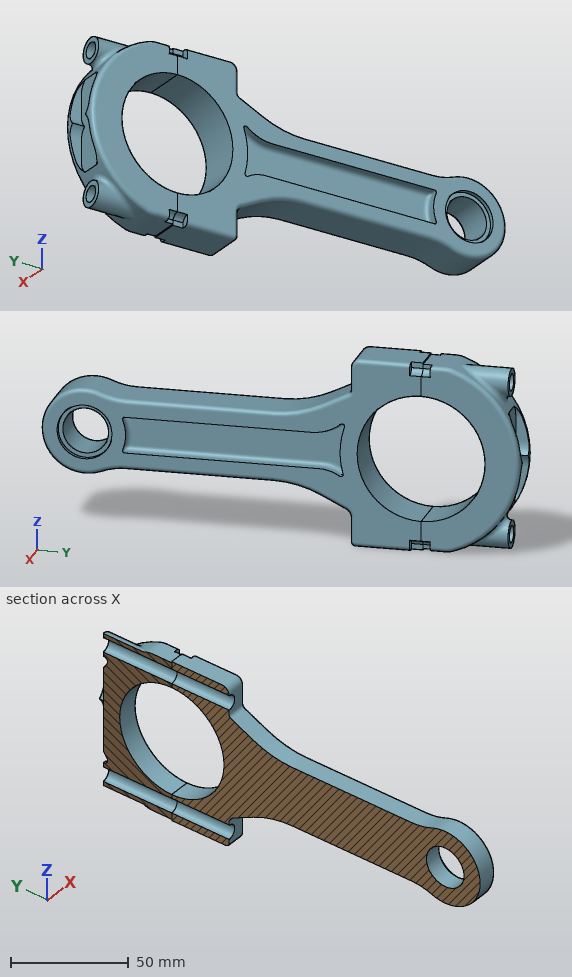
import cadquery as cq
import math


thickness = 21.0
half_thickness = thickness / 2
big_bore_radius = 28.0
edge_fillet = 2.0
bolt_hole_radius = 3.7
bolt_z = 34.0
sides = (1, -1)

rod_half_height = 41.9
shoulder_y = -31.0
shoulder_corner_fillet = 4.0
shoulder_root_z = 26.7
root_fillet_top = 2.0
root_fillet_bottom = 4.0

shank_half_height = 15.5
flare_angle = math.radians(26)
flare_end_y = -65.0

small_end_y = -147.5
small_end_radius = 19.0
small_bore_radius = 10.0
small_recess_radius = 12.0
small_recess_depth = 2.0
small_end_blend_radius = 30.0

pocket_depth = 5.0
pocket_half_height = 8.0
pocket_big_end_radius = 35.5
pocket_small_end_radius = 18.0
pocket_top_flare = {"start_y": -48.2, "radius": 20.8}
pocket_bottom_flare = {"start_y": -44.5, "radius": 16.0}
pocket_corner_fillet = 1.0
pocket_floor_fillet = 2.0

cap_radius = 43.0
cap_half_height = 41.3
cap_blend_radius = 11.0
boss_radius = 6.1
boss_end_y = 37.0
boss_root_fillet = 2.0

slot_radius = 7.4
slot_inner_z = 5.5
slot_outer_z = 16.0

notch_cap_length = 4.0
notch_rod_length = 5.0
notch_depth = 3.5
notch_floor_z = 36.9
notch_arc_rise = 2.5


def extrude_across(sketch):
    """Extrude a YZ-plane outline symmetrically over the full thickness."""
    return sketch.extrude(half_thickness, both=True)


def bolt_cylinders(radius, start_y, end_y):
    """Two cylinders along Y on the bolt axes."""
    return (
        cq.Workplane("XZ", origin=(0, start_y, 0))
        .pushPoints([(0, side * bolt_z) for side in sides])
        .circle(radius)
        .extrude(start_y - end_y)
    )


def parting_notches():
    """Four notches across the parting plane, each with a rounded inner corner."""
    notches = cq.Workplane("XY")
    for x_side in sides:
        for z_side in sides:
            face_x = x_side * half_thickness
            outside_x = x_side * (half_thickness + notch_depth)
            inner_x = x_side * (half_thickness - notch_depth)
            floor_z = z_side * notch_floor_z
            arc_end_z = z_side * (notch_floor_z + notch_arc_rise)
            open_z = z_side * rod_half_height
            notch = (
                cq.Workplane("XZ", origin=(0, notch_cap_length, 0))
                .moveTo(inner_x, open_z)
                .lineTo(outside_x, open_z)
                .lineTo(outside_x, floor_z)
                .lineTo(face_x, floor_z)
                .tangentArcPoint((inner_x, arc_end_z), relative=False)
                .close()
                .extrude(notch_cap_length + notch_rod_length)
            )
            notches = notches.add(notch)
    return notches


def cut_all(body, tools):
    """Cut every solid held by a Workplane from a body."""
    for tool in tools.vals():
        body = body.cut(cq.Workplane(tool))
    return body


def rod_outline():
    """Rod profile in the YZ plane, before its corners are rounded."""
    crossing_y = shoulder_y - (shoulder_root_z - shank_half_height) / math.tan(flare_angle)
    tangent_length = crossing_y - flare_end_y
    flare_start = (
        crossing_y + tangent_length * math.cos(flare_angle),
        shank_half_height + tangent_length * math.sin(flare_angle),
    )

    centre_distance = small_end_radius + small_end_blend_radius
    blend_centre_z = shank_half_height + small_end_blend_radius
    blend_run = math.sqrt(centre_distance**2 - blend_centre_z**2)
    share = small_end_radius / centre_distance
    blend_start_y = small_end_y + blend_run
    blend_end = (small_end_y + share * blend_run, share * blend_centre_z)
    small_end_tip = (small_end_y - small_end_radius, 0)

    return (
        cq.Workplane("YZ")
        .moveTo(0, rod_half_height)
        .lineTo(shoulder_y, rod_half_height)
        .lineTo(shoulder_y, shoulder_root_z)
        .lineTo(*flare_start)
        .tangentArcPoint((flare_end_y, shank_half_height), relative=False)
        .lineTo(blend_start_y, shank_half_height)
        .tangentArcPoint(blend_end, relative=False)
        .threePointArc(small_end_tip, (blend_end[0], -blend_end[1]))
        .tangentArcPoint((blend_start_y, -shank_half_height), relative=False)
        .lineTo(flare_end_y, -shank_half_height)
        .tangentArcPoint((flare_start[0], -flare_start[1]), relative=False)
        .lineTo(shoulder_y, -shoulder_root_z)
        .lineTo(shoulder_y, -rod_half_height)
        .lineTo(0, -rod_half_height)
        .close()
    )


def fillet_cross_edge(body, y, z, radius):
    """Round the X-direction edge that passes through (y, z)."""
    return body.edges(cq.selectors.NearestToPointSelector((0, y, z))).fillet(radius)


def fillet_rim(body, open_side):
    """Round the outline of both flat faces, except along the parting plane."""
    rim = body.faces("<X or >X").edges().edges(f"not({open_side}Y)")
    return rim.fillet(edge_fillet)


def flare_points(start_y, radius):
    """Middle and end of a pocket flare curving up from the straight wall to the big-end arc."""
    centre_z = pocket_half_height + radius
    centre_distance = math.hypot(start_y, centre_z)
    opening = math.acos(
        (centre_distance**2 + pocket_big_end_radius**2 - radius**2)
        / (2 * centre_distance * pocket_big_end_radius)
    )
    end_angle = math.atan2(centre_z, -start_y) - opening
    end = (-pocket_big_end_radius * math.cos(end_angle), pocket_big_end_radius * math.sin(end_angle))

    half_sweep = math.atan2(end[0] - start_y, centre_z - end[1]) / 2
    middle = (start_y + radius * math.sin(half_sweep), centre_z - radius * math.cos(half_sweep))
    return middle, end


def pocket_tool(x_side):
    """Shank pocket: ends concentric with the two bores, flared toward the big end."""
    top_middle, top_corner = flare_points(**pocket_top_flare)
    bottom_middle, bottom_corner = flare_points(**pocket_bottom_flare)
    far_y = small_end_y + math.sqrt(pocket_small_end_radius**2 - pocket_half_height**2)

    return (
        cq.Workplane("YZ", origin=(x_side * half_thickness, 0, 0))
        .moveTo(far_y, pocket_half_height)
        .lineTo(pocket_top_flare["start_y"], pocket_half_height)
        .threePointArc(top_middle, top_corner)
        .threePointArc((-pocket_big_end_radius, 0), (bottom_corner[0], -bottom_corner[1]))
        .threePointArc(
            (bottom_middle[0], -bottom_middle[1]),
            (pocket_bottom_flare["start_y"], -pocket_half_height),
        )
        .lineTo(far_y, -pocket_half_height)
        .threePointArc((small_end_y + pocket_small_end_radius, 0), (far_y, pocket_half_height))
        .close()
        .extrude(-x_side * pocket_depth)
        .edges("|X")
        .fillet(pocket_corner_fillet)
        .faces("<X" if x_side > 0 else ">X")
        .edges()
        .fillet(pocket_floor_fillet)
    )


def small_end_recess(x_side):
    """Shallow counterbore around the small bore on one face."""
    return (
        cq.Workplane("YZ", origin=(x_side * half_thickness, 0, 0))
        .center(small_end_y, 0)
        .circle(small_recess_radius)
        .extrude(-x_side * small_recess_depth)
    )


def make_rod():
    rod = extrude_across(rod_outline())
    rod = fillet_cross_edge(rod, shoulder_y, rod_half_height, shoulder_corner_fillet)
    rod = fillet_cross_edge(rod, shoulder_y, -rod_half_height, edge_fillet)
    rod = fillet_cross_edge(rod, shoulder_y, shoulder_root_z, root_fillet_top)
    rod = fillet_cross_edge(rod, shoulder_y, -shoulder_root_z, root_fillet_bottom)
    rod = fillet_rim(rod, ">")

    rod = rod.cut(extrude_across(cq.Workplane("YZ").circle(big_bore_radius)))
    rod = rod.cut(bolt_cylinders(bolt_hole_radius, 0, shoulder_y))
    rod = rod.cut(extrude_across(cq.Workplane("YZ").center(small_end_y, 0).circle(small_bore_radius)))
    for x_side in sides:
        rod = rod.cut(pocket_tool(x_side))
        rod = rod.cut(small_end_recess(x_side))
    return cut_all(rod, parting_notches())


def make_cap():
    flat_end_y = math.sqrt(cap_radius**2 - cap_half_height**2)
    cap = extrude_across(
        cq.Workplane("YZ")
        .moveTo(0, -cap_half_height)
        .lineTo(flat_end_y, -cap_half_height)
        .threePointArc((cap_radius, 0), (flat_end_y, cap_half_height))
        .lineTo(0, cap_half_height)
        .close()
    )
    for side in sides:
        cap = fillet_cross_edge(cap, flat_end_y, side * cap_half_height, cap_blend_radius)
    cap = fillet_rim(cap, "<")

    cap = cap.union(bolt_cylinders(boss_radius, 0, boss_end_y))
    boss_zone = cq.selectors.BoxSelector(
        (-boss_radius - 0.1, flat_end_y, -rod_half_height),
        (boss_radius + 0.1, boss_end_y - 0.1, rod_half_height),
        boundingbox=True,
    )
    cap = cap.edges(boss_zone).fillet(boss_root_fillet)
    cap = cap.cut(extrude_across(cq.Workplane("YZ").circle(big_bore_radius)))
    cap = cap.cut(bolt_cylinders(bolt_hole_radius, 0, boss_end_y))

    slot_length = slot_outer_z - slot_inner_z + 2 * slot_radius
    slots = (
        cq.Workplane("XZ", origin=(0, boss_end_y, 0))
        .pushPoints([(0, side * (slot_inner_z + slot_outer_z) / 2) for side in sides])
        .slot2D(slot_length, 2 * slot_radius, 90)
        .extrude(boss_end_y - cap_radius)
    )
    cap = cap.cut(slots)
    return cut_all(cap, parting_notches())


rod = make_rod()
cap = make_cap()

result = cq.Compound.makeCompound([rod.val(), cap.val()])